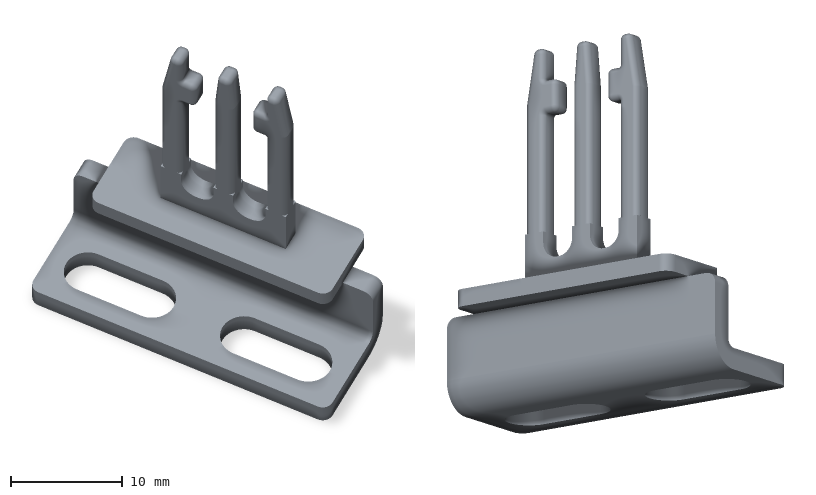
import cadquery as cq
import math

total_height = 32.0
sheet = 2.0
corner_radius = 1.0

bracket_width = 30.0
foot_depth = 11.0
upright_height = 8.5
bend_inner_radius = 0.8
bend_outer_radius = bend_inner_radius + sheet
mount_slot_length = 10.75
mount_slot_width = 4.32
mount_slot_offset = 7.85
mount_slot_setback = 4.0

collar_width = 24.0
collar_depth = 8.0
collar_height = 1.6

tongue_width = 12.55
prong_gap = 3.23
gap_corner_radius = 1.5
middle_prong_width = 2.0
gap_bottom = 12.48
prong_start = 15.0
edge_radius = 0.5
outer_taper_length = 5.0
outer_taper_angle = 10.0
middle_taper_length = 4.0
middle_taper_angle = 5.0
hook_reach = 1.4
hook_top_drop = 3.0
hook_height = 3.0
hook_root_radius = 0.2

back_y = sheet / 2
front_y = back_y - foot_depth
tongue_half = tongue_width / 2
middle_half = middle_prong_width / 2
outer_prong_inner = middle_half + prong_gap
gap_middle = middle_half + prong_gap / 2
hook_top = total_height - hook_top_drop
hook_bottom = hook_top - hook_height
hook_end = outer_prong_inner - hook_reach


def extrude_sheet(points):
    """Extrude an XZ outline through the thickness of the upright sheet."""
    return cq.Workplane("XZ").polyline(points).close().extrude(sheet / 2, both=True)


def upright_bar(centre_x, width, bottom, top):
    """Rectangular block of the upright sheet, standing between two heights."""
    return extrude_sheet([
        (centre_x - width / 2, bottom),
        (centre_x + width / 2, bottom),
        (centre_x + width / 2, top),
        (centre_x - width / 2, top),
    ])


def round_prong(prong, corner_faces):
    """Round both face outlines and the corners on the given faces; the lower end stays sharp."""
    above_base = cq.selectors.BoxSelector(
        (-tongue_width, -sheet, prong_start + edge_radius / 2),
        (tongue_width, sheet, total_height + edge_radius),
    )
    face_edges = prong.faces("<Y or >Y").edges(above_base)
    corner_edges = prong.faces(corner_faces).edges("|Y")
    return face_edges.add(corner_edges).fillet(edge_radius)


def make_bracket():
    """L-shaped sheet with rounded bend, rounded corners and two mounting slots."""
    bracket = (
        cq.Workplane("YZ")
        .moveTo(back_y, upright_height)
        .lineTo(back_y, 0)
        .lineTo(front_y, 0)
        .lineTo(front_y, sheet)
        .lineTo(-back_y, sheet)
        .lineTo(-back_y, upright_height)
        .close()
        .extrude(bracket_width / 2, both=True)
    )
    bracket = bracket.edges("|X and >Y and <Z").fillet(bend_outer_radius)
    inner_bend = cq.selectors.NearestToPointSelector((0, -back_y, sheet))
    bracket = bracket.edges("|X").edges(inner_bend).fillet(bend_inner_radius)
    bracket = bracket.faces("<Y").edges("|Z").fillet(corner_radius)
    bracket = bracket.faces(">Z").edges("|Y").fillet(corner_radius)
    slots = (
        cq.Workplane("XY")
        .pushPoints([(side * mount_slot_offset, front_y + mount_slot_setback) for side in (-1, 1)])
        .slot2D(mount_slot_length, mount_slot_width)
        .extrude(sheet)
    )
    return bracket.cut(slots)


def make_tongue_base():
    """Plain lower part of the tongue, with the rounded bottoms of the two gaps."""
    base = upright_bar(0, tongue_width, upright_height, prong_start)
    for x in (-gap_middle, gap_middle):
        gap = upright_bar(x, prong_gap, gap_bottom, prong_start)
        base = base.cut(gap.edges("|Y and <Z").fillet(gap_corner_radius))
    return base


def make_middle_prong():
    """Straight prong that narrows on both sides towards its tip."""
    taper_start = total_height - middle_taper_length
    tip_half = middle_half - middle_taper_length * math.tan(math.radians(middle_taper_angle))
    prong = extrude_sheet([
        (-middle_half, prong_start),
        (middle_half, prong_start),
        (middle_half, taper_start),
        (tip_half, total_height),
        (-tip_half, total_height),
        (-middle_half, taper_start),
    ])
    return round_prong(prong, ">Z")


def make_right_prong():
    """Outer prong on the +X side: tapered outside, with a square hook pointing inwards."""
    taper_start = total_height - outer_taper_length
    tip_outer = tongue_half - outer_taper_length * math.tan(math.radians(outer_taper_angle))
    prong = extrude_sheet([
        (outer_prong_inner, prong_start),
        (tongue_half, prong_start),
        (tongue_half, taper_start),
        (tip_outer, total_height),
        (outer_prong_inner, total_height),
        (outer_prong_inner, hook_top),
        (hook_end, hook_top),
        (hook_end, hook_bottom),
        (outer_prong_inner, hook_bottom),
    ])
    for root_height in (hook_bottom, hook_top):
        hook_root = cq.selectors.NearestToPointSelector((outer_prong_inner, 0, root_height))
        prong = prong.edges("|Y").edges(hook_root).fillet(hook_root_radius)
    return round_prong(prong, ">Z or <X")


def make_key():
    """Bent sheet key: bracket, tongue and three prongs in one piece."""
    right_prong = make_right_prong()
    left_prong = right_prong.mirror("YZ")
    key = make_bracket().union(make_tongue_base())
    for prong in (left_prong, make_middle_prong(), right_prong):
        key = key.union(prong)
    return key


def make_collar():
    """Flat plate resting on the bracket, with an opening the tongue passes through."""
    collar = (
        cq.Workplane("XY", origin=(0, 0, upright_height))
        .rect(collar_width, collar_depth)
        .extrude(collar_height)
        .edges("|Z")
        .fillet(corner_radius)
    )
    opening = upright_bar(0, tongue_width, upright_height, upright_height + collar_height)
    return collar.cut(opening)


key = make_key()
collar = make_collar()
result = cq.Compound.makeCompound([key.val(), collar.val()])